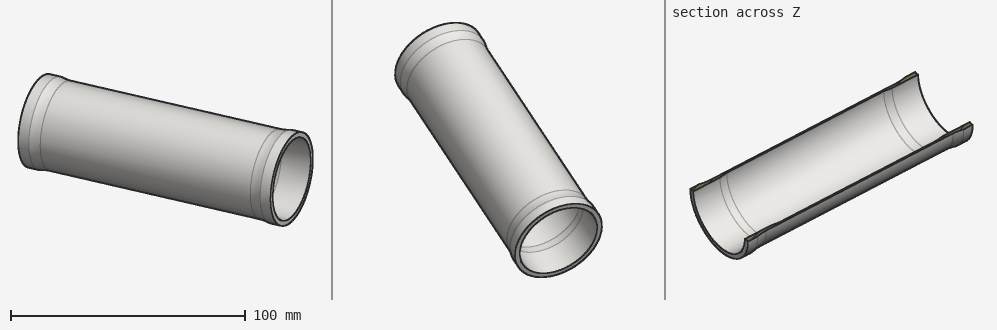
import cadquery as cq

length = 120.0
collar_radius = 20.5
body_radius = 19.8

collar_length = 5.0
flare_length = 5.0

mouth_radius = 18.2
middle_bore_radius = 18.8
mouth_length = 14.0
cone_length = 4.1

half_length = length / 2
collar_inner_x = half_length - collar_length
flare_inner_x = collar_inner_x - flare_length
mouth_inner_x = half_length - mouth_length
cone_inner_x = mouth_inner_x - cone_length

flare_rise = collar_radius - body_radius
flare_radius = (flare_length**2 + flare_rise**2) / (2 * flare_rise)

wall_section = (
    cq.Workplane("XZ")
    .moveTo(-half_length, mouth_radius)
    .lineTo(-half_length, collar_radius)
    .lineTo(-collar_inner_x, collar_radius)
    .radiusArc((-flare_inner_x, body_radius), -flare_radius)
    .lineTo(flare_inner_x, body_radius)
    .radiusArc((collar_inner_x, collar_radius), -flare_radius)
    .lineTo(half_length, collar_radius)
    .lineTo(half_length, mouth_radius)
    .lineTo(mouth_inner_x, mouth_radius)
    .lineTo(cone_inner_x, middle_bore_radius)
    .lineTo(-cone_inner_x, middle_bore_radius)
    .lineTo(-mouth_inner_x, mouth_radius)
    .close()
)

result = wall_section.revolve(360, (0, 0, 0), (1, 0, 0))